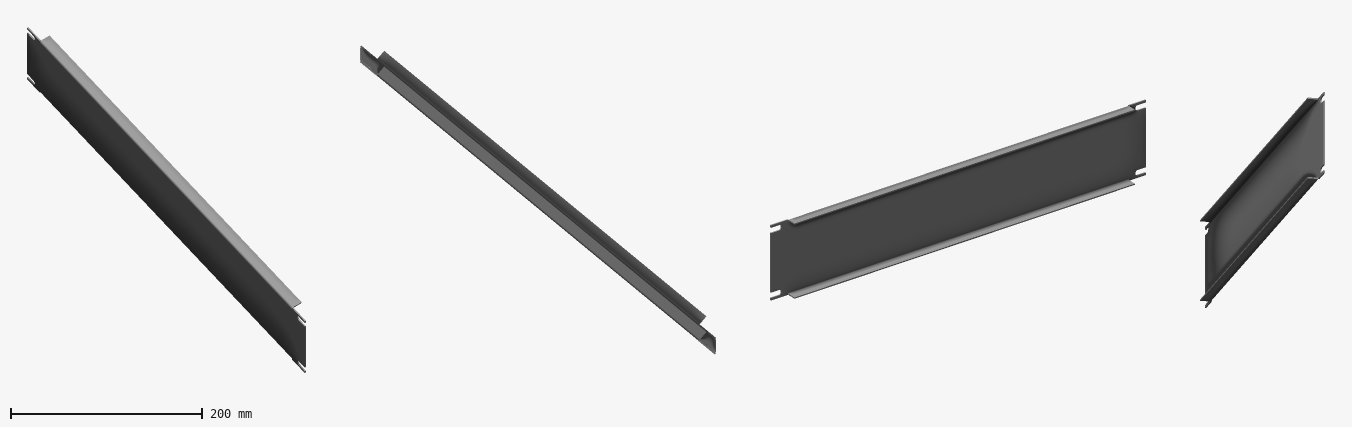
import cadquery as cq

panel_length = 482.5
panel_depth = 12.5
panel_height = 88.5
sheet_thickness = 1.5

flange_length = 438.0
bend_outer_radius = 2.5
bend_inner_radius = bend_outer_radius - sheet_thickness

slot_width = 6.5
slot_depth = 13.5
slot_spacing = 76.3


def make_face_plate():
    """Flat front sheet, with its front face on the XZ plane."""
    return cq.Workplane("XY").box(
        panel_length, sheet_thickness, panel_height, centered=(True, False, True)
    )


def make_channel():
    """Folded U-shaped sheet that carries both flanges."""
    outer = (
        cq.Workplane("XY")
        .box(flange_length, panel_depth, panel_height, centered=(True, False, True))
        .edges("|X and <Y")
        .fillet(bend_outer_radius)
    )
    inner = (
        cq.Workplane("XY")
        .box(
            flange_length,
            panel_depth,
            panel_height - 2 * sheet_thickness,
            centered=(True, False, True),
        )
        .translate((0, sheet_thickness, 0))
        .edges("|X and <Y")
        .fillet(bend_inner_radius)
    )
    return outer.cut(inner)


def make_bend_clearance():
    """Full-height block removed from the plate where the folded channel replaces it."""
    return cq.Workplane("XY").box(
        flange_length, panel_depth, panel_height, centered=(True, False, True)
    )


def make_mounting_slots():
    """Round-ended slots centred on the end edges, so that half of each cuts the panel."""
    return (
        cq.Workplane("XZ")
        .rarray(panel_length, slot_spacing, 2, 2)
        .slot2D(2 * slot_depth, slot_width)
        .extrude(-sheet_thickness)
    )


end_tabs = make_face_plate().cut(make_bend_clearance())
result = end_tabs.union(make_channel()).cut(make_mounting_slots())
result = result.translate((0, -panel_depth / 2, 0))